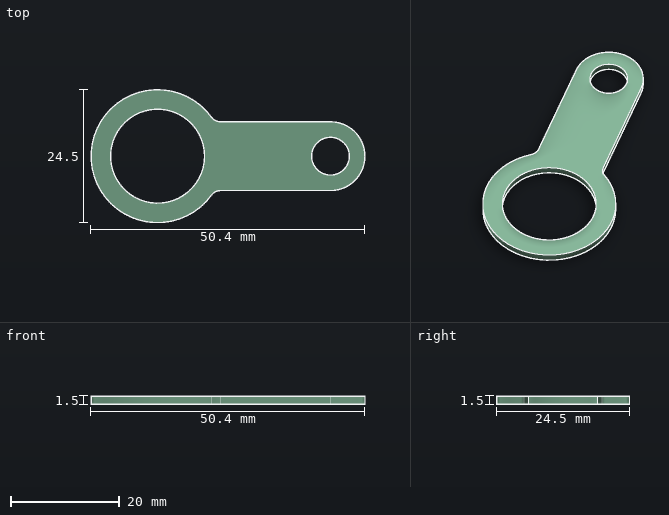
import cadquery as cq
import math

total_length = 50.4
thickness = 1.5
ring_diameter = 24.5
ring_hole_diameter = 17.25
tab_width = 12.7
tab_hole_diameter = 6.9
neck_fillet_radius = 2.0

ring_radius = ring_diameter / 2
tab_radius = tab_width / 2
tab_end_x = total_length - ring_radius - tab_radius

fillet_center_y = tab_radius + neck_fillet_radius
fillet_center_x = math.sqrt((ring_radius + neck_fillet_radius) ** 2 - fillet_center_y**2)
ring_share = ring_radius / (ring_radius + neck_fillet_radius)
ring_tangent_x = fillet_center_x * ring_share
ring_tangent_y = fillet_center_y * ring_share

ring_direction = math.atan2(-fillet_center_y, -fillet_center_x)
tab_direction = -math.pi / 2
middle_direction = (ring_direction + tab_direction) / 2
fillet_middle_x = fillet_center_x + neck_fillet_radius * math.cos(middle_direction)
fillet_middle_y = fillet_center_y + neck_fillet_radius * math.sin(middle_direction)


def make_plate():
    """Flat ring blended into a round-ended tab."""
    return (
        cq.Workplane("XY")
        .moveTo(ring_tangent_x, ring_tangent_y)
        .threePointArc((-ring_radius, 0), (ring_tangent_x, -ring_tangent_y))
        .threePointArc((fillet_middle_x, -fillet_middle_y), (fillet_center_x, -tab_radius))
        .lineTo(tab_end_x, -tab_radius)
        .threePointArc((tab_end_x + tab_radius, 0), (tab_end_x, tab_radius))
        .lineTo(fillet_center_x, tab_radius)
        .threePointArc((fillet_middle_x, fillet_middle_y), (ring_tangent_x, ring_tangent_y))
        .close()
        .extrude(thickness)
    )


def make_through_hole(center_x, diameter):
    """Cylinder through the whole plate thickness."""
    return cq.Workplane("XY").center(center_x, 0).circle(diameter / 2).extrude(thickness)


ring_hole = make_through_hole(0, ring_hole_diameter)
tab_hole = make_through_hole(tab_end_x, tab_hole_diameter)

result = make_plate().cut(ring_hole).cut(tab_hole)